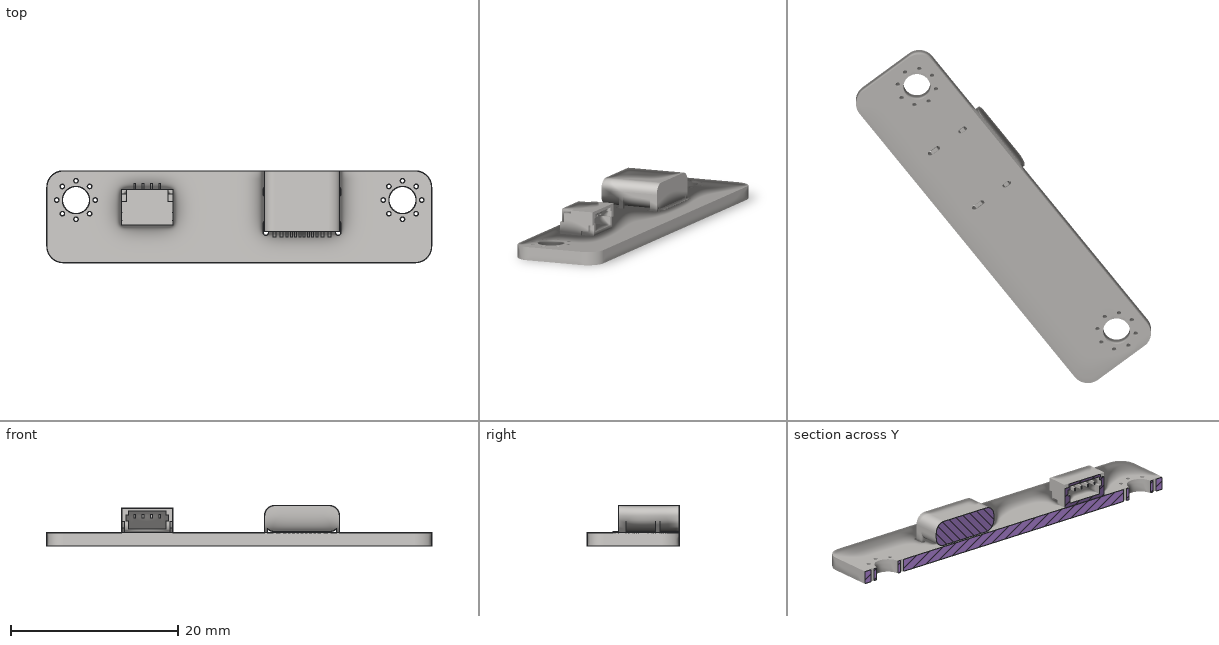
import cadquery as cq
import math


BOARD_LENGTH = 46.0
BOARD_WIDTH = 11.0
BOARD_THICKNESS = 1.6
BOARD_CORNER_RADIUS = 2.0
BOARD_REAR_Y = BOARD_WIDTH / 2

MOUNT_HOLE_DIAMETER = 3.2
MOUNT_HOLE_INSET = 3.5
MOUNT_HOLE_X = BOARD_LENGTH / 2 - MOUNT_HOLE_INSET
MOUNT_HOLE_Y = BOARD_REAR_Y - MOUNT_HOLE_INSET
VIA_DIAMETER = 0.5
VIA_CIRCLE_RADIUS = 2.3
VIA_COUNT = 8

USB_X = 7.5
USB_WIDTH = 8.95
USB_LENGTH = 7.25
USB_CORNER_RADIUS = 1.25
USB_TOP_Z = 4.88
USB_CLEARANCE = 0.115
USB_BOTTOM_Z = BOARD_THICKNESS + USB_CLEARANCE
USB_HEIGHT = USB_TOP_Z - USB_BOTTOM_Z
USB_FRONT_Y = BOARD_REAR_Y - USB_LENGTH

LEG_THICKNESS = 0.35
LEG_TOP_Z = USB_TOP_Z - USB_HEIGHT / 2
FRONT_LEG_LENGTH = 0.9
REAR_LEG_LENGTH = 0.55
REAR_LEG_SETBACK = 4.4

SLOT_WIDTH = 0.6
SLOT_SPACING = 8.65
FRONT_SLOT_LENGTH = 1.7
REAR_SLOT_LENGTH = 1.15
FRONT_SLOT_SETBACK = 0.4
REAR_SLOT_SETBACK = 4.75

USB_PIN_PITCH = 0.5
FINE_PIN_COUNT = 8
FINE_PIN_WIDTH = 0.25
WIDE_PIN_WIDTH = 0.35
WIDE_PIN_OFFSETS = (2.45, 3.25)
USB_PIN_REACH = 0.65
USB_PIN_ROOT = 0.45
USB_PIN_THICKNESS = 0.15

CABLE_X = -11.0
CABLE_WIDTH = 6.1
CABLE_DEPTH = 4.3
CABLE_HEIGHT = 2.95
CABLE_INSET = 2.2
CABLE_REAR_Y = BOARD_REAR_Y - CABLE_INSET
CABLE_FRONT_Y = CABLE_REAR_Y - CABLE_DEPTH
CABLE_TOP_Z = BOARD_THICKNESS + CABLE_HEIGHT

CAVITY_WIDTH = 4.45
CAVITY_HEIGHT = 2.15
CAVITY_DEPTH = 3.2
CAVITY_FLOOR_THICKNESS = 0.4
CAVITY_FLOOR_Z = BOARD_THICKNESS + CAVITY_FLOOR_THICKNESS
KEYWAY_DEPTH = 0.3
KEYWAY_HEIGHT = 0.7
KEYWAY_RISE = 1.0
KEYWAY_BOTTOM_Z = CAVITY_FLOOR_Z + KEYWAY_RISE

REAR_NOTCH_WIDTH = 0.6
REAR_STEP_LENGTH = 1.45
REAR_STEP_HEIGHT = 0.4
REAR_CORNER_LENGTH = 0.55
REAR_CORNER_HEIGHT = 1.5

FRONT_NOTCH_WIDTH = 0.35
FRONT_STEP_LENGTH = 1.5
FRONT_STEP_HEIGHT = 0.55
FRONT_CORNER_LENGTH = 0.55
FRONT_CORNER_HEIGHT = 1.35

CONTACT_COUNT = 4
CONTACT_SPAN = 3.0
CONTACT_PITCH = CONTACT_SPAN / (CONTACT_COUNT - 1)
CONTACT_WIDTH = 0.205
CONTACT_HEIGHT = 0.4
CONTACT_RISE = 1.35
CONTACT_BOTTOM_Z = CAVITY_FLOOR_Z + CONTACT_RISE
CONTACT_SETBACK = 0.9
TAIL_REACH = 0.7
TAIL_ROOT = 0.25
TAIL_THICKNESS = 0.15


def block(x_range, y_range, z_range):
    """Axis-aligned box between pairs of limits."""
    (x0, x1), (y0, y1), (z0, z1) = x_range, y_range, z_range
    return cq.Workplane("XY").box(x1 - x0, y1 - y0, z1 - z0, centered=False).translate((x0, y0, z0))


def centred(middle, size):
    """Limits of a span around its middle."""
    return middle - size / 2, middle + size / 2


def side_span(middle, width, side, depth):
    """X limits of a strip just inside the left (-1) or right (+1) flank of a body."""
    outer = middle + side * width / 2
    return sorted((outer, outer - side * depth))


def build_board():
    board = (
        cq.Workplane("XY")
        .rect(BOARD_LENGTH, BOARD_WIDTH)
        .extrude(BOARD_THICKNESS)
        .edges("|Z")
        .fillet(BOARD_CORNER_RADIUS)
    )

    mount_points = [(side * MOUNT_HOLE_X, MOUNT_HOLE_Y) for side in (-1, 1)]
    via_angles = [2 * math.pi * index / VIA_COUNT for index in range(VIA_COUNT)]
    via_points = [
        (x + VIA_CIRCLE_RADIUS * math.cos(angle), y + VIA_CIRCLE_RADIUS * math.sin(angle))
        for x, y in mount_points
        for angle in via_angles
    ]
    holes = cq.Workplane("XY").pushPoints(mount_points).circle(MOUNT_HOLE_DIAMETER / 2)
    vias = cq.Workplane("XY").pushPoints(via_points).circle(VIA_DIAMETER / 2)
    board = board.cut(holes.extrude(BOARD_THICKNESS)).cut(vias.extrude(BOARD_THICKNESS))

    slots = ((FRONT_SLOT_SETBACK, FRONT_SLOT_LENGTH), (REAR_SLOT_SETBACK, REAR_SLOT_LENGTH))
    for setback, length in slots:
        slot_points = [(USB_X + side * SLOT_SPACING / 2, USB_FRONT_Y + setback) for side in (-1, 1)]
        slot = cq.Workplane("XY").pushPoints(slot_points).slot2D(length, SLOT_WIDTH, 90)
        board = board.cut(slot.extrude(BOARD_THICKNESS))
    return board


def build_usb_socket():
    socket = (
        block(centred(USB_X, USB_WIDTH), (USB_FRONT_Y, BOARD_REAR_Y), (USB_BOTTOM_Z, USB_TOP_Z))
        .edges("|Y")
        .fillet(USB_CORNER_RADIUS)
    )

    legs = ((0, FRONT_LEG_LENGTH), (REAR_LEG_SETBACK, REAR_LEG_LENGTH))
    for side in (-1, 1):
        leg_x = side_span(USB_X, USB_WIDTH, side, LEG_THICKNESS)
        for setback, length in legs:
            leg_y = USB_FRONT_Y + setback
            socket = socket.union(block(leg_x, (leg_y, leg_y + length), (0, LEG_TOP_Z)))

    first_pin = -USB_PIN_PITCH * (FINE_PIN_COUNT - 1) / 2
    pins = [(first_pin + index * USB_PIN_PITCH, FINE_PIN_WIDTH) for index in range(FINE_PIN_COUNT)]
    pins += [(side * offset, WIDE_PIN_WIDTH) for offset in WIDE_PIN_OFFSETS for side in (-1, 1)]
    pin_y = (USB_FRONT_Y - USB_PIN_REACH, USB_FRONT_Y + USB_PIN_ROOT)
    pin_z = (BOARD_THICKNESS, BOARD_THICKNESS + USB_PIN_THICKNESS)
    for offset, width in pins:
        socket = socket.union(block(centred(USB_X + offset, width), pin_y, pin_z))
    return socket


def build_cable_connector():
    connector = block(
        centred(CABLE_X, CABLE_WIDTH),
        (CABLE_FRONT_Y, CABLE_REAR_Y),
        (BOARD_THICKNESS, CABLE_TOP_Z),
    )

    cavity_y = (CABLE_FRONT_Y, CABLE_FRONT_Y + CAVITY_DEPTH)
    cavity_z = (CAVITY_FLOOR_Z, CAVITY_FLOOR_Z + CAVITY_HEIGHT)
    keyway_z = (KEYWAY_BOTTOM_Z, KEYWAY_BOTTOM_Z + KEYWAY_HEIGHT)
    connector = connector.cut(block(centred(CABLE_X, CAVITY_WIDTH), cavity_y, cavity_z))
    keyway_span = centred(CABLE_X, CAVITY_WIDTH + 2 * KEYWAY_DEPTH)
    connector = connector.cut(block(keyway_span, cavity_y, keyway_z))

    rear_steps = ((REAR_STEP_LENGTH, REAR_STEP_HEIGHT), (REAR_CORNER_LENGTH, REAR_CORNER_HEIGHT))
    front_steps = ((FRONT_STEP_LENGTH, FRONT_STEP_HEIGHT), (FRONT_CORNER_LENGTH, FRONT_CORNER_HEIGHT))
    for side in (-1, 1):
        rear_x = side_span(CABLE_X, CABLE_WIDTH, side, REAR_NOTCH_WIDTH)
        for length, height in rear_steps:
            notch_y = (CABLE_REAR_Y - length, CABLE_REAR_Y)
            connector = connector.cut(block(rear_x, notch_y, (CABLE_TOP_Z - height, CABLE_TOP_Z)))
        front_x = side_span(CABLE_X, CABLE_WIDTH, side, FRONT_NOTCH_WIDTH)
        for length, height in front_steps:
            notch_y = (CABLE_FRONT_Y, CABLE_FRONT_Y + length)
            notch_z = (BOARD_THICKNESS, BOARD_THICKNESS + height)
            connector = connector.cut(block(front_x, notch_y, notch_z))

    contact_y = (CABLE_FRONT_Y + CONTACT_SETBACK, CABLE_FRONT_Y + CAVITY_DEPTH)
    contact_z = (CONTACT_BOTTOM_Z, CONTACT_BOTTOM_Z + CONTACT_HEIGHT)
    tail_y = (CABLE_REAR_Y - TAIL_ROOT, CABLE_REAR_Y + TAIL_REACH)
    tail_z = (BOARD_THICKNESS, BOARD_THICKNESS + TAIL_THICKNESS)
    for index in range(CONTACT_COUNT):
        offset = (index - (CONTACT_COUNT - 1) / 2) * CONTACT_PITCH
        contact_x = centred(CABLE_X + offset, CONTACT_WIDTH)
        connector = connector.union(block(contact_x, contact_y, contact_z))
        connector = connector.union(block(contact_x, tail_y, tail_z))
    return connector


board = build_board().solids()
usb_socket = build_usb_socket().solids()
cable_connector = build_cable_connector().solids()

result = cq.Compound.makeCompound([board.val(), usb_socket.val(), cable_connector.val()])